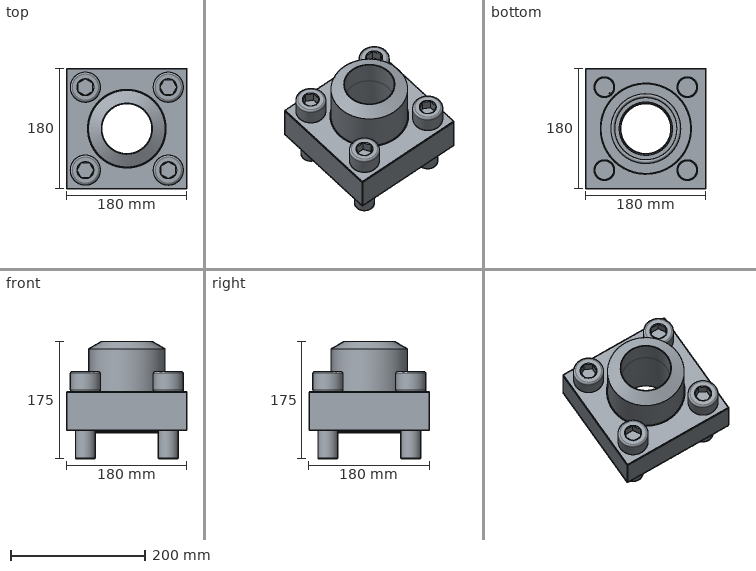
import cadquery as cq
import math

flange_side = 180.0
flange_thickness = 58.0
flange_edge_chamfer = 1.0
flange_bore_diameter = 115.5
flange_bore_chamfer = 0.9

screw_spacing = 123.7
screw_diameter = 30.0
screw_hole_diameter = 31.0
screw_length = 100.0
screw_tip_chamfer = 1.0
head_diameter = 45.0
head_height = screw_diameter
head_top_fillet = 3.0
head_base_fillet = 3.0
socket_across_flats = 22.0
socket_across_corners = socket_across_flats / math.cos(math.pi / 6)
socket_depth = 16.5
socket_lead_angle = math.radians(45)

overall_height = 175.0
stub_diameter = 114.3
stub_top = overall_height - (screw_length - flange_thickness)
stub_protrusion = 2.0
weld_bevel_angle = math.radians(30)
weld_land_diameter = 76.3
stub_bore_diameter = 74.3
stub_bore_depth = 37.6
stub_inlet_diameter = 79.5
neck_diameter = 115.0
collar_diameter = 135.0
collar_height = 21.6
collar_chamfer = 0.7
collar_recess_diameter = 136.0

seal_inner_diameter = 92.5
seal_outer_diameter = 104.2
seal_section = (seal_outer_diameter - seal_inner_diameter) / 2
seal_protrusion = 1.8
groove_depth = seal_section - seal_protrusion

stub_bottom = -stub_protrusion
collar_top = stub_bottom + collar_height


def make_flange():
    flange = (
        cq.Workplane("XY")
        .box(flange_side, flange_side, flange_thickness, centered=(True, True, False))
        .edges()
        .chamfer(flange_edge_chamfer)
    )
    bore = cq.Workplane("XY").circle(flange_bore_diameter / 2).extrude(flange_thickness)
    collar_recess = cq.Workplane("XY").circle(collar_recess_diameter / 2).extrude(collar_top)
    screw_holes = (
        cq.Workplane("XY")
        .rect(screw_spacing, screw_spacing, forConstruction=True)
        .vertices()
        .circle(screw_hole_diameter / 2)
        .extrude(flange_thickness)
    )
    flange = flange.cut(bore).cut(collar_recess).cut(screw_holes)
    widest_circle = cq.selectors.RadiusNthSelector(-1)
    return flange.faces(">Z").edges("%CIRCLE").edges(widest_circle).chamfer(flange_bore_chamfer)


def make_stub():
    stub_radius = stub_diameter / 2
    land_radius = weld_land_diameter / 2
    bore_radius = stub_bore_diameter / 2
    bevel_bottom = stub_top - (stub_radius - land_radius) * math.tan(weld_bevel_angle)
    profile = [
        (stub_inlet_diameter / 2, stub_bottom),
        (collar_diameter / 2 - collar_chamfer, stub_bottom),
        (collar_diameter / 2, stub_bottom + collar_chamfer),
        (collar_diameter / 2, collar_top),
        (neck_diameter / 2, collar_top),
        (neck_diameter / 2, flange_thickness),
        (stub_radius, flange_thickness),
        (stub_radius, bevel_bottom),
        (land_radius, stub_top),
        (bore_radius, stub_top),
        (bore_radius, stub_top - stub_bore_depth),
    ]
    stub = cq.Workplane("XZ").polyline(profile).close().revolve(360, (0, 0, 0), (0, 1, 0))
    groove = (
        cq.Workplane("XY", origin=(0, 0, stub_bottom))
        .circle(seal_outer_diameter / 2)
        .circle(seal_inner_diameter / 2)
        .extrude(groove_depth)
    )
    return stub.cut(groove)


def make_seal():
    section_radius = seal_section / 2
    ring_radius = seal_inner_diameter / 2 + section_radius
    center_height = stub_bottom + groove_depth - section_radius
    return (
        cq.Workplane("XZ")
        .center(ring_radius, center_height)
        .circle(section_radius)
        .revolve(360, (-ring_radius, 0, 0), (-ring_radius, 1, 0))
    )


def make_screw():
    """Screw on the Z axis, standing on Z = 0 with the underside of its head."""
    head = (
        cq.Workplane("XY")
        .circle(head_diameter / 2)
        .extrude(head_height)
        .faces(">Z")
        .edges()
        .fillet(head_top_fillet)
        .faces("<Z")
        .edges()
        .fillet(head_base_fillet)
    )
    shank = (
        cq.Workplane("XY")
        .circle(screw_diameter / 2)
        .extrude(-screw_length)
        .faces("<Z")
        .edges()
        .chamfer(screw_tip_chamfer)
    )
    socket = (
        cq.Workplane("XY", origin=(0, 0, head_height - socket_depth))
        .polygon(6, socket_across_corners)
        .extrude(socket_depth)
    )
    lead_radius = socket_across_corners / 2
    lead_depth = lead_radius * math.tan(socket_lead_angle)
    lead_in = cq.Workplane(
        cq.Solid.makeCone(0, lead_radius, lead_depth, pnt=cq.Vector(0, 0, head_height - lead_depth))
    )
    return head.union(shank).cut(socket).cut(lead_in)


def place_screws():
    corner = screw_spacing / 2
    screw = make_screw().translate((corner, corner, flange_thickness))
    return [screw.rotate((0, 0, 0), (0, 0, 1), 90 * turn) for turn in range(4)]


flange = make_flange()
stub = make_stub()
seal = make_seal()
screws = place_screws()

result = cq.Compound.makeCompound(
    [flange.val(), stub.val(), seal.val(), *[screw.val() for screw in screws]]
)